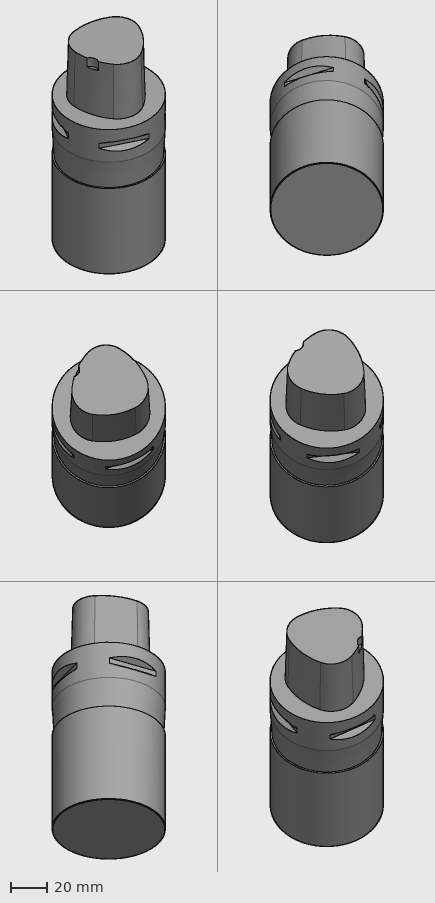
import cadquery as cq
import math

OUTER_DIAMETER = 63.0
SLEEVE_HEIGHT = 61.0
BOTTOM_CHAMFER = 0.4

NECK_DIAMETER = 61.0
NECK_TOP_Z = 79.8
FLANGE_TOP_Z = 103.0

GROOVE_COUNT = 4
GROOVE_FIRST_ANGLE = 45
GROOVE_Z = 91.0
GROOVE_FLOOR_HEIGHT = 3.4
GROOVE_FLOOR_RADIUS = 27.9
GROOVE_SIDE_ANGLE = 30

TOTAL_HEIGHT = 141.0
LOBE_COUNT = 3
LOBE_TIP_RADIUS = 23.4
FLANK_RADIUS = 20.3
LOBE_ARC_RADIUS = 14.7
TAPER_RATIO = 20

NOTCH_HEIGHT = 6.2
NOTCH_FLOOR_Y = -17.6
NOTCH_ARC_RADIUS = 4.8

outer_radius = OUTER_DIAMETER / 2
shank_height = TOTAL_HEIGHT - FLANGE_TOP_Z


def polar(radius, degrees):
    angle = math.radians(degrees)
    return (radius * math.cos(angle), radius * math.sin(angle))


def make_sleeve():
    sleeve = cq.Workplane("XY").circle(outer_radius).extrude(SLEEVE_HEIGHT)
    return sleeve.faces("<Z").edges().chamfer(BOTTOM_CHAMFER)


def make_flange():
    """Neck widening upwards into the cylindrical flange."""
    profile = [
        (0, SLEEVE_HEIGHT),
        (NECK_DIAMETER / 2, SLEEVE_HEIGHT),
        (outer_radius, NECK_TOP_Z),
        (outer_radius, FLANGE_TOP_Z),
        (0, FLANGE_TOP_Z),
    ]
    return cq.Workplane("XZ").polyline(profile).close().revolve(360, (0, 0), (0, 1))


def make_groove_cutter(angle):
    reach = outer_radius + 1.4
    half_floor = GROOVE_FLOOR_HEIGHT / 2
    flare = (reach - GROOVE_FLOOR_RADIUS) * math.tan(math.radians(GROOVE_SIDE_ANGLE))
    section = [
        (GROOVE_FLOOR_RADIUS, GROOVE_Z - half_floor),
        (reach, GROOVE_Z - half_floor - flare),
        (reach, GROOVE_Z + half_floor + flare),
        (GROOVE_FLOOR_RADIUS, GROOVE_Z + half_floor),
    ]
    cutter = cq.Workplane("XZ").polyline(section).close().extrude(outer_radius, both=True)
    return cutter.rotate((0, 0, 0), (0, 0, 1), angle)


def make_shank():
    """Lobes and flanks are tangent arcs; one lobe points along +Y."""
    pitch = 360 / LOBE_COUNT
    lobe_centre = LOBE_TIP_RADIUS - LOBE_ARC_RADIUS
    across, along = polar(lobe_centre, 90 - pitch / 2)
    gap = FLANK_RADIUS - LOBE_ARC_RADIUS
    flank_centre = (lobe_centre**2 - gap**2) / (2 * (gap - along))
    half_arc = pitch / 2 - math.degrees(math.atan2(across, flank_centre + along))
    joint_x, joint_y = polar(LOBE_ARC_RADIUS, half_arc)
    joint_x += lobe_centre
    joint_radius = math.hypot(joint_x, joint_y)
    joint_angle = math.degrees(math.atan2(joint_y, joint_x))

    outline = cq.Workplane("XY", origin=(0, 0, FLANGE_TOP_Z))
    outline = outline.moveTo(*polar(joint_radius, 90 - joint_angle))
    for lobe in range(LOBE_COUNT):
        lobe_angle = 90 + lobe * pitch
        next_joint = lobe_angle + pitch - joint_angle
        outline = outline.threePointArc(
            polar(LOBE_TIP_RADIUS, lobe_angle), polar(joint_radius, lobe_angle + joint_angle)
        )
        outline = outline.threePointArc(
            polar(FLANK_RADIUS, lobe_angle + pitch / 2), polar(joint_radius, next_joint)
        )
    taper_angle = math.degrees(math.atan(1 / (2 * TAPER_RATIO)))
    return outline.close().extrude(shank_height, taper=taper_angle)


def make_notch_cutter():
    return (
        cq.Workplane("XY", origin=(0, 0, TOTAL_HEIGHT - NOTCH_HEIGHT))
        .center(0, NOTCH_FLOOR_Y - NOTCH_ARC_RADIUS)
        .circle(NOTCH_ARC_RADIUS)
        .extrude(NOTCH_HEIGHT)
    )


def make_adapter():
    adapter = make_flange().union(make_shank())
    for index in range(GROOVE_COUNT):
        angle = GROOVE_FIRST_ANGLE + index * 360 / GROOVE_COUNT
        adapter = adapter.cut(make_groove_cutter(angle))
    return adapter.cut(make_notch_cutter())


sleeve = make_sleeve()
adapter = make_adapter()

result = cq.Compound.makeCompound([sleeve.val(), *adapter.solids().vals()])